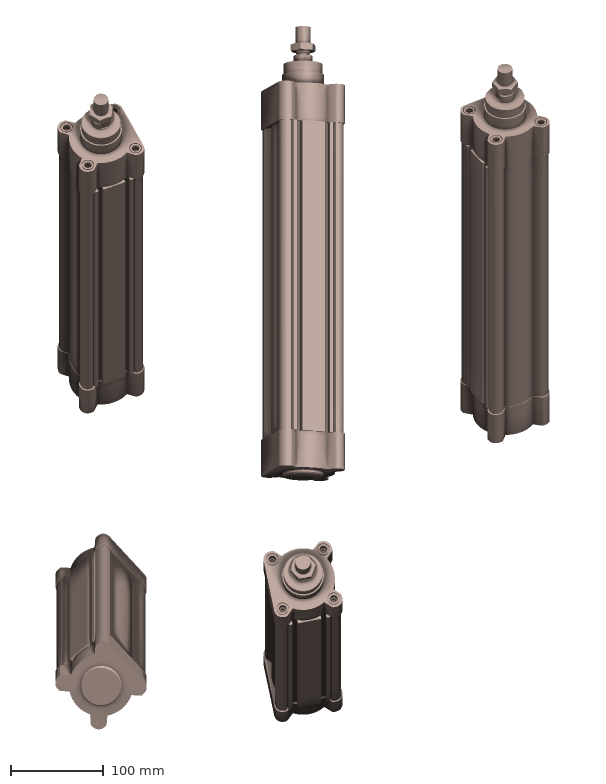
import cadquery as cq
import math

total_height = 493.0
boss_height = 4.0
rear_cap_height = 40.0
head_cap_height = 42.0
head_cap_top = 426.0
collar_step_z = 441.0
collar_top_z = 452.5
rear_cap_top = boss_height + rear_cap_height
head_cap_bottom = head_cap_top - head_cap_height

cap_width = 75.0
corner_radius = 9.0
cap_arc_radius = 34.5
scallop_mouth = 25.5
scallop_lip = 24.0
scallop_lip_depth = 1.0
scallop_foot = 17.5

barrel_width = 72.0
barrel_corner_radius = 7.5
barrel_arc_radius = 34.0
barrel_scallop_lip = 22.5
barrel_scallop_lip_depth = 2.0
barrel_heel = 18.5
barrel_heel_depth = 6.0
sensor_slot_inner = 13.0
sensor_slot_outer = 18.5
sensor_slot_depth = 7.0
vee_inner = 22.0
vee_outer = 25.5
vee_depth = 3.5

collar_diameter = 45.0
narrow_collar_diameter = 42.5
narrow_collar_foot_diameter = 42.0
collar_chamfer = 0.5
boss_chamfer = 1.5

screw_offset = 28.0
screw_seat_diameter = 14.0
screw_head_diameter = 12.0
screw_thread_diameter = 8.0
screw_countersink_diameter = 9.0
screw_socket_diameter = 4.5
screw_seat_depth = 2.5
screw_thread_depth = 7.5
screw_socket_depth = 11.0

rod_diameter = 20.0
rod_flat_width = 17.0
thread_diameter = 16.0
neck_diameter = 14.0
rod_bottom_z = head_cap_bottom
flats_bottom_z = 453.5
shoulder_z = 461.5
neck_top_z = 463.5
thread_start_z = 465.0
nut_width = 24.0
nut_bottom_z = 466.5
nut_height = 8.0
nut_chamfer_height = 1.0


def prism(width, radius, bottom, top):
    """Square bar with rounded vertical edges."""
    bar = cq.Workplane("XY").workplane(offset=bottom).rect(width, width)
    return bar.extrude(top - bottom).edges("|Z").fillet(radius)


def cylinder(diameter, bottom, top):
    return cq.Workplane("XY").workplane(offset=bottom).circle(diameter / 2).extrude(top - bottom)


def scallop(slope, arc_radius, angle, bottom, top):
    """Cutter for one side: a sloped pocket that leaves the round bulge in its middle."""
    foot_depth = math.sqrt(arc_radius ** 2 - scallop_foot ** 2)
    half = slope + [(scallop_foot, -foot_depth)]
    mirrored = [(-x, y) for x, y in reversed(half)]
    outline = cq.Workplane("XY").workplane(offset=bottom).polyline(half + mirrored).close()
    pocket = outline.extrude(top - bottom)
    pocket = pocket.cut(cylinder(2 * arc_radius, bottom, top))
    return pocket.rotate((0, 0, 0), (0, 0, 1), angle)


def make_cap(bottom, top):
    """End cap scalloped on three sides, flat on +Y."""
    side = cap_width / 2
    slope = [(scallop_mouth, -side), (scallop_lip, -side + scallop_lip_depth)]
    cap = prism(cap_width, corner_radius, bottom, top)
    for angle in (-90, 0, 90):
        cap = cap.cut(scallop(slope, cap_arc_radius, angle, bottom, top))
    return cap


def side_grooves():
    """Cutter for the sensor slot and V groove on the +X, +Y quarter of the barrel."""
    side = barrel_width / 2
    length = head_cap_bottom - rear_cap_top
    base = cq.Workplane("XY").workplane(offset=rear_cap_top)
    slot_width = sensor_slot_outer - sensor_slot_inner
    slot = cq.Workplane("XY").box(sensor_slot_depth, slot_width, length, centered=False)
    slot = slot.translate((side - sensor_slot_depth, sensor_slot_inner, rear_cap_top))
    vee_points = [(side, vee_inner), (side - vee_depth, (vee_inner + vee_outer) / 2), (side, vee_outer)]
    return slot.union(base.polyline(vee_points).close().extrude(length))


def make_barrel():
    """Profile tube: round bulges on -Y and +Y, sensor slots on -X and +X."""
    side = barrel_width / 2
    slope = [
        (scallop_mouth, -side),
        (barrel_scallop_lip, -side + barrel_scallop_lip_depth),
        (barrel_heel, -side + barrel_heel_depth),
    ]
    barrel = prism(barrel_width, barrel_corner_radius, rear_cap_top, head_cap_bottom)
    for angle in (0, 180):
        barrel = barrel.cut(scallop(slope, barrel_arc_radius, angle, rear_cap_top, head_cap_bottom))
    grooves = side_grooves()
    grooves = grooves.union(grooves.mirror("XZ"))
    return barrel.cut(grooves).cut(grooves.mirror("YZ"))


def screw_recess():
    """Cutter at the origin, opening upward: seat ring, countersunk thread and socket."""
    ring = cylinder(screw_seat_diameter, -screw_seat_depth, 0).cut(
        cylinder(screw_head_diameter, -screw_seat_depth, 0)
    )
    thread_radius = screw_thread_diameter / 2
    mouth_radius = screw_countersink_diameter / 2
    thread = cylinder(screw_thread_diameter, -screw_thread_depth, 0)
    countersink_depth = mouth_radius - thread_radius
    countersink_floor = cq.Vector(0, 0, -countersink_depth)
    mouth = cq.Solid.makeCone(thread_radius, mouth_radius, countersink_depth, countersink_floor)
    socket = cylinder(screw_socket_diameter, -screw_socket_depth, -screw_thread_depth)
    return ring.union(thread).union(mouth).union(socket)


def narrow_collar():
    """Upper collar, slightly wider at its chamfered top."""
    collar = cq.Solid.makeCone(
        narrow_collar_foot_diameter / 2,
        narrow_collar_diameter / 2,
        collar_top_z - collar_step_z,
        cq.Vector(0, 0, collar_step_z),
    )
    return cq.Workplane("XY").add(collar).faces(">Z").chamfer(collar_chamfer)


def make_housing():
    """Barrel, both caps, collars and pilot boss with the rod bore and the head-cap screw recesses."""
    housing = make_barrel()
    housing = housing.union(make_cap(boss_height, rear_cap_top))
    housing = housing.union(make_cap(head_cap_bottom, head_cap_top))
    housing = housing.union(cylinder(collar_diameter, 0, boss_height).faces("<Z").chamfer(boss_chamfer))
    housing = housing.union(cylinder(collar_diameter, head_cap_top, collar_step_z))
    housing = housing.union(narrow_collar())
    housing = housing.cut(cylinder(rod_diameter, rod_bottom_z, collar_top_z))
    for x in (-screw_offset, screw_offset):
        for y in (-screw_offset, screw_offset):
            housing = housing.cut(screw_recess().translate((x, y, head_cap_top)))
    return housing


def make_rod():
    """Turned piston rod with two wrench flats facing -X and +X."""
    rod_radius = rod_diameter / 2
    thread_radius = thread_diameter / 2
    neck_radius = neck_diameter / 2
    profile = [
        (0, rod_bottom_z),
        (rod_radius, rod_bottom_z),
        (rod_radius, shoulder_z),
        (neck_radius, shoulder_z),
        (neck_radius, neck_top_z),
        (thread_radius, thread_start_z),
        (thread_radius, total_height),
        (0, total_height),
    ]
    rod = cq.Workplane("XZ").polyline(profile).close().revolve(360, (0, 0), (0, 1))
    flat_height = shoulder_z - flats_bottom_z
    sides = cq.Workplane("XY").workplane(offset=flats_bottom_z).rect(2 * rod_diameter, 2 * rod_diameter)
    sides = sides.rect(rod_flat_width, 2 * rod_diameter).extrude(flat_height)
    return rod.cut(sides)


def make_nut():
    """Hexagon lock nut with corners on -Y and +Y, its corners turned off at both ends."""
    flat_radius = nut_width / 2
    tip_radius = flat_radius / math.cos(math.pi / 6)
    nut_top_z = nut_bottom_z + nut_height
    nut = cq.Workplane("XY").workplane(offset=nut_bottom_z).polygon(6, 2 * tip_radius)
    nut = nut.extrude(nut_height).rotate((0, 0, 0), (0, 0, 1), 90)
    turned_profile = [
        (0, nut_bottom_z),
        (flat_radius, nut_bottom_z),
        (tip_radius, nut_bottom_z + nut_chamfer_height),
        (tip_radius, nut_top_z - nut_chamfer_height),
        (flat_radius, nut_top_z),
        (0, nut_top_z),
    ]
    turned = cq.Workplane("XZ").polyline(turned_profile).close().revolve(360, (0, 0), (0, 1))
    return nut.intersect(turned).cut(cylinder(thread_diameter, nut_bottom_z, nut_top_z))


housing = make_housing()
piston_rod = make_rod()
lock_nut = make_nut()

result = cq.Compound.makeCompound([housing.val(), piston_rod.val(), lock_nut.val()])